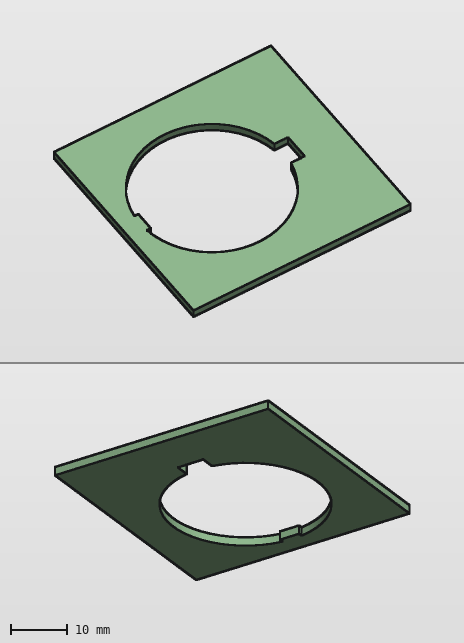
import cadquery as cq

plate_width = 44.8
plate_length = 45.75
plate_thickness = 1.7

opening_radius = 15.15
opening_center_y = -4.3

notch_width = 5.3
notch_top_y = 13.5
tab_width = 4.03
tab_top_y = -18.5


def centered_block(width, bottom_y, top_y):
    """Full-thickness block centred on X between two Y positions."""
    return cq.Workplane("XY").box(
        width, top_y - bottom_y, plate_thickness, centered=(True, False, True)
    ).translate((0, bottom_y, 0))


plate = cq.Workplane("XY").box(plate_width, plate_length, plate_thickness)

opening = (
    cq.Workplane("XY")
    .center(0, opening_center_y)
    .circle(opening_radius)
    .extrude(plate_thickness / 2, both=True)
)
tab = centered_block(tab_width, opening_center_y - opening_radius, tab_top_y)
notch = centered_block(notch_width, opening_center_y, notch_top_y)

result = plate.cut(opening.cut(tab).union(notch))